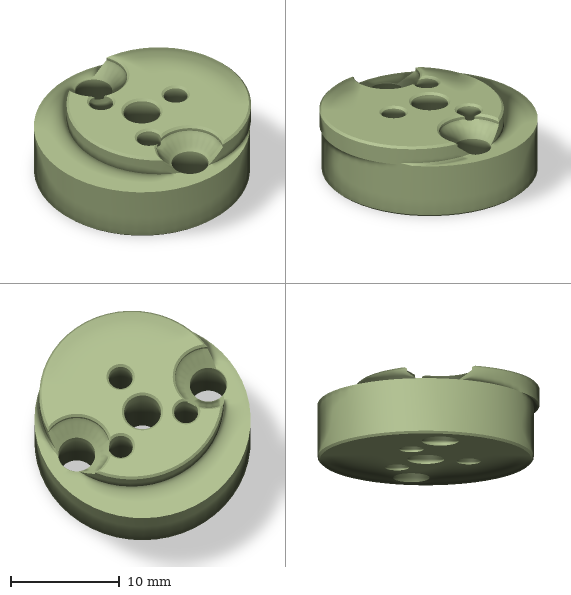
import cadquery as cq
import math

body_diameter = 19.9
body_radius = body_diameter / 2
body_height = 5.2
boss_height = 1.8
total_height = body_height + boss_height
boss_offset = 2.0
longest_side = 20.45
boss_radius = longest_side - body_radius - boss_offset
edge_chamfer = 0.2
base_bevel = 0.18

large_hole_diameter = 3.4
small_hole_diameter = 2.2
small_hole_count = 3
small_hole_circle_radius = 4.0

screw_hole_spacing = 13.99
screw_head_radius = 3.07
screw_rim_depth = 0.5


def hole_cutter(x, y, diameter):
    """Through hole with a chamfered mouth in the top face."""
    radius = diameter / 2
    profile = [
        (0, 0),
        (radius, 0),
        (radius, total_height - edge_chamfer),
        (radius + edge_chamfer, total_height),
        (0, total_height),
    ]
    return cq.Workplane("XZ").polyline(profile).close().revolve().translate((x, y, 0))


def screw_cutter(x):
    """Through hole with a countersink, a straight rim and a chamfered mouth."""
    radius = large_hole_diameter / 2
    cone_top = total_height - screw_rim_depth
    cone_bottom = cone_top - (screw_head_radius - radius)
    profile = [
        (0, 0),
        (radius, 0),
        (radius, cone_bottom),
        (screw_head_radius, cone_top),
        (screw_head_radius, total_height - edge_chamfer),
        (screw_head_radius + edge_chamfer, total_height),
        (0, total_height),
    ]
    return cq.Workplane("XZ").polyline(profile).close().revolve().translate((x, 0, 0))


body = cq.Workplane("XY").circle(body_radius).extrude(body_height).faces("<Z").chamfer(edge_chamfer)
boss = (
    cq.Workplane("XY", origin=(0, boss_offset, body_height))
    .circle(boss_radius)
    .extrude(boss_height)
    .faces(">Z")
    .chamfer(edge_chamfer)
)
result = body.union(boss)

bevel_cone = (
    cq.Workplane("XZ")
    .polyline([
        (0, body_height),
        (boss_radius + base_bevel, body_height),
        (boss_radius, body_height + base_bevel),
        (0, body_height + base_bevel),
    ])
    .close()
    .revolve()
    .translate((0, boss_offset, 0))
)
body_outline = cq.Workplane("XY").circle(body_radius).extrude(total_height)
bevel_quarter = cq.Workplane("XY").box(
    body_radius, body_radius, total_height, centered=False
).translate((-body_radius, 0, 0))
result = result.union(bevel_cone.intersect(body_outline).intersect(bevel_quarter))

result = result.cut(hole_cutter(0, 0, large_hole_diameter))

for index in range(small_hole_count):
    angle = math.pi / 2 + index * 2 * math.pi / small_hole_count
    hole_x = small_hole_circle_radius * math.cos(angle)
    hole_y = small_hole_circle_radius * math.sin(angle)
    result = result.cut(hole_cutter(hole_x, hole_y, small_hole_diameter))

for side in (-1, 1):
    result = result.cut(screw_cutter(side * screw_hole_spacing / 2))